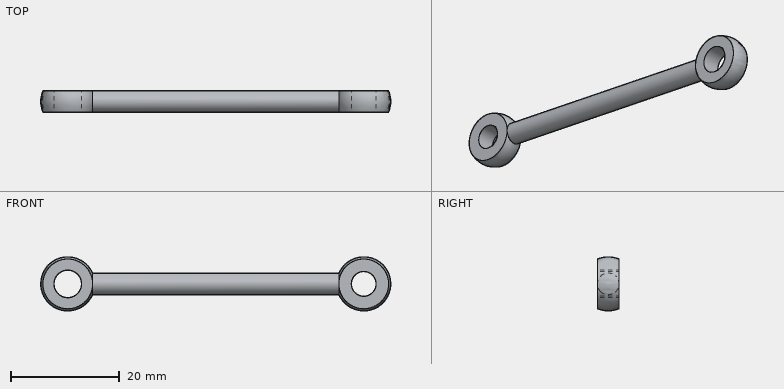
import cadquery as cq
import math

overall_length = 64.4
eye_diameter = 10.0
thickness = 4.0
left_bore_diameter = 5.0
right_bore_diameter = 4.5

eye_radius = eye_diameter / 2
center_offset = overall_length / 2 - eye_radius
seat_offset = math.sqrt(eye_radius**2 - (thickness / 2) ** 2)


def eye(bore_diameter):
    """Ball cut flat on both sides, bored along Y, with a round seat for the rod on +X."""
    ball = cq.Workplane("XY").sphere(eye_radius)
    envelope = (
        cq.Workplane("XY")
        .box(eye_radius + seat_offset, thickness, eye_diameter)
        .translate(((seat_offset - eye_radius) / 2, 0, 0))
    )
    bore = (
        cq.Workplane("XZ")
        .circle(bore_diameter / 2)
        .extrude(thickness, both=True)
    )
    return ball.intersect(envelope).cut(bore)


left_eye = eye(left_bore_diameter).translate((-center_offset, 0, 0))
right_eye = (
    eye(right_bore_diameter)
    .rotate((0, 0, 0), (0, 0, 1), 180)
    .translate((center_offset, 0, 0))
)

rod_half_length = center_offset - seat_offset
rod = (
    cq.Workplane("YZ")
    .circle(thickness / 2)
    .extrude(rod_half_length, both=True)
)

result = rod.union(left_eye).union(right_eye)